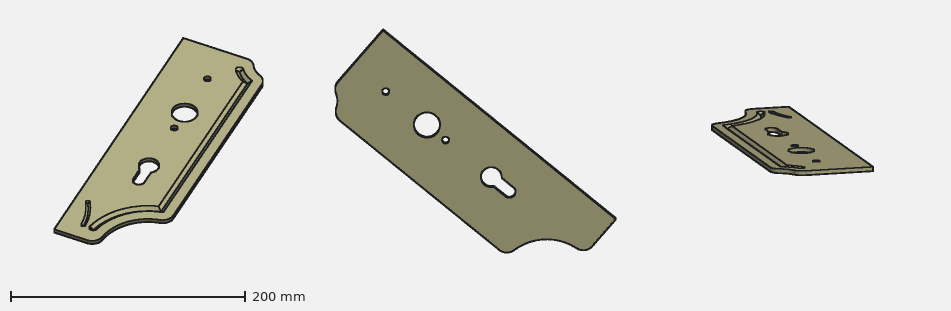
import cadquery as cq
import math

LENGTH = 260.0
WIDTH = 85.0
THICKNESS = 4.0

CUT_CENTER_X = 86.3
LOWER_CUT_Y = 4.7
UPPER_CUT_Y = 264.7
LOWER_CUT_RADIUS = 45.2
UPPER_CUT_RADIUS = 20.0
CORNER_RADIUS = 10.1

GROOVE_INSET = 12.7
GROOVE_WIDTH = 6.8
GROOVE_DEPTH = 2.9
GROOVE_LOWER_END_Y = 15.9
GROOVE_UPPER_END_Y = 245.0

ACCENT_START = (20.3, 15.5)
ACCENT_MIDDLE = (17.5, 30.7)
ACCENT_END = (12.0, 42.5)
ACCENT_WIDTH = 4.0
ACCENT_DEPTH = GROOVE_DEPTH * ACCENT_WIDTH / GROOVE_WIDTH

OPENING_X = 40.0
SCREW_HOLE_YS = (156.5, 223.3)
SCREW_HOLE_DIAMETER = 6.0
HANDLE_HOLE_Y = 177.3
HANDLE_HOLE_DIAMETER = 22.4
KEYHOLE_Y = 105.5
KEYHOLE_DIAMETER = 17.7
KEYHOLE_SLOT_WIDTH = 10.5
KEYHOLE_BOTTOM_Y = 80.0


def leg(hypotenuse, other_leg):
    """Remaining leg of a right triangle."""
    return math.sqrt(hypotenuse**2 - other_leg**2)


def between(start, end, fraction):
    """Point at the given fraction of the way from start to end."""
    return tuple(a + (b - a) * fraction for a, b in zip(start, end))


def arc_middle(center, start, end):
    """Middle of the shorter arc about center from start to end."""
    chord_middle = between(start, end, 0.5)
    reach = math.dist(center, start) / math.dist(center, chord_middle)
    return between(center, chord_middle, reach)


def make_plate():
    """Plate whose concave corners blend into the straight edges through convex fillets."""
    blank = cq.Workplane("XY").rect(WIDTH, LENGTH, centered=False).extrude(THICKNESS)
    cuts = ((LOWER_CUT_Y, LOWER_CUT_RADIUS), (UPPER_CUT_Y, UPPER_CUT_RADIUS))
    for center_y, radius in cuts:
        cutter = cq.Workplane("XY").center(CUT_CENTER_X, center_y).circle(radius).extrude(THICKNESS)
        blank = blank.cut(cutter)
    return blank.edges("|Z and (not <X)").fillet(CORNER_RADIUS)


def section_plane(point, inward):
    """Upright plane across a groove end, with local Y up and its normal pointing into the groove."""
    return cq.Plane(origin=point.toTuple(), xDir=(-inward.y, inward.x, 0), normal=inward.toTuple())


def v_groove(path, width, depth):
    """V-shaped cutter along a wire path on the top face, with half-cone ends."""
    half_width = width / 2
    wire = path.val()
    start_plane = section_plane(wire.startPoint(), wire.tangentAt(0))
    end_plane = section_plane(wire.endPoint(), -wire.tangentAt(1))

    profile = cq.Workplane(start_plane).polyline([(-half_width, 0), (half_width, 0), (0, -depth)]).close()
    cutter = profile.sweep(path, transition="right")
    for plane in (start_plane, end_plane):
        half_profile = cq.Workplane(plane).polyline([(0, 0), (half_width, 0), (0, -depth)]).close()
        cutter = cutter.union(half_profile.revolve(180, (0, 0), (0, 1)))
    return cutter


def make_border_groove():
    """Groove along the right-hand edge, bending around both concave corners."""
    line_x = WIDTH - GROOVE_INSET
    run = CUT_CENTER_X - line_x
    lower_center = (CUT_CENTER_X, LOWER_CUT_Y)
    upper_center = (CUT_CENTER_X, UPPER_CUT_Y)
    lower_radius = LOWER_CUT_RADIUS + GROOVE_INSET
    upper_radius = UPPER_CUT_RADIUS + GROOVE_INSET

    start = (CUT_CENTER_X - leg(lower_radius, GROOVE_LOWER_END_Y - LOWER_CUT_Y), GROOVE_LOWER_END_Y)
    lower_bend = (line_x, LOWER_CUT_Y + leg(lower_radius, run))
    upper_bend = (line_x, UPPER_CUT_Y - leg(upper_radius, run))
    end = (CUT_CENTER_X - leg(upper_radius, UPPER_CUT_Y - GROOVE_UPPER_END_Y), GROOVE_UPPER_END_Y)

    path = (
        cq.Workplane("XY", origin=(0, 0, THICKNESS))
        .moveTo(*start)
        .threePointArc(arc_middle(lower_center, start, lower_bend), lower_bend)
        .lineTo(*upper_bend)
        .threePointArc(arc_middle(upper_center, upper_bend, end), end)
        .wire()
    )
    return v_groove(path, GROOVE_WIDTH, GROOVE_DEPTH)


def make_accent_groove():
    """Short curved groove near the lower left corner."""
    path = cq.Workplane("XY", origin=(0, 0, THICKNESS)).moveTo(*ACCENT_START)
    path = path.threePointArc(ACCENT_MIDDLE, ACCENT_END).wire()
    return v_groove(path, ACCENT_WIDTH, ACCENT_DEPTH)


def make_openings():
    """Screw holes, handle hole and profile-cylinder keyhole."""
    base = cq.Workplane("XY")
    screw_points = [(OPENING_X, y) for y in SCREW_HOLE_YS]
    screws = base.pushPoints(screw_points).circle(SCREW_HOLE_DIAMETER / 2).extrude(THICKNESS)
    handle = base.center(OPENING_X, HANDLE_HOLE_Y).circle(HANDLE_HOLE_DIAMETER / 2).extrude(THICKNESS)
    barrel = base.center(OPENING_X, KEYHOLE_Y).circle(KEYHOLE_DIAMETER / 2).extrude(THICKNESS)
    slot_length = KEYHOLE_Y - KEYHOLE_BOTTOM_Y
    slot = (
        base.center(OPENING_X, KEYHOLE_Y - slot_length / 2)
        .slot2D(slot_length, KEYHOLE_SLOT_WIDTH, 90)
        .extrude(THICKNESS)
    )
    return screws.union(handle).union(barrel).union(slot)


plate = make_plate().cut(make_openings())
result = plate.cut(make_border_groove()).cut(make_accent_groove()).solids()